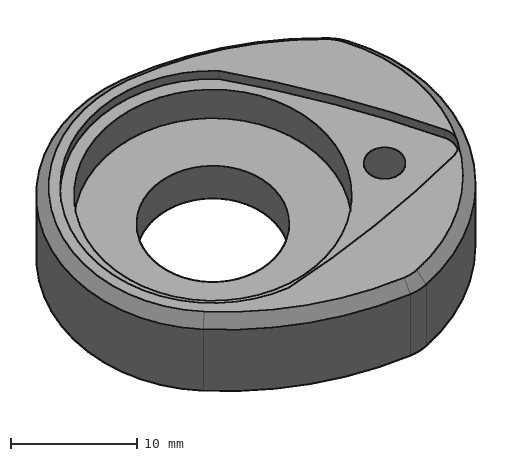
import cadquery as cq
import math

DIAGONAL_ANGLE = 45.0

HEIGHT = 8.5
HUB_RADIUS = 14.0
LOBE_RADIUS = 16.0
LOBE_OFFSET = 3.5 * math.sqrt(2)
FLANK_RADIUS = 31.0
CORNER_RADIUS = 4.5
RIM_CHAMFER = 1.0

POCKET_DEPTH = 1.0
POCKET_RADIUS = 12.1
POCKET_SIDE_RADIUS = 95.0
POCKET_SIDE_START_ANGLE = 74.0
POCKET_TIP_OFFSET = 21.0
POCKET_TIP_RADIUS = 1.8

SEAT_DIAMETER = 22.0
SEAT_DEPTH = 3.5
BORE_DIAMETER = 12.1

PIN_HOLE_DIAMETER = 3.3
PIN_HOLE_OFFSET = 14.0


def mirrored(point):
    """Reflect a plan point across the diagonal."""
    return (point[0], -point[1])


def make_body():
    flank_center_distance = FLANK_RADIUS - HUB_RADIUS
    flank_center_drop = math.sqrt(flank_center_distance**2 - LOBE_OFFSET**2)
    hub_scale = HUB_RADIUS / flank_center_distance
    hub_end = (-LOBE_OFFSET * hub_scale, flank_center_drop * hub_scale)

    corner_y = (FLANK_RADIUS**2 - LOBE_RADIUS**2 - flank_center_drop**2) / (2 * flank_center_drop)
    corner = (LOBE_OFFSET + math.sqrt(LOBE_RADIUS**2 - corner_y**2), corner_y)

    body = (
        cq.Workplane("XY")
        .moveTo(*hub_end)
        .radiusArc(corner, FLANK_RADIUS)
        .threePointArc((LOBE_OFFSET + LOBE_RADIUS, 0), mirrored(corner))
        .radiusArc(mirrored(hub_end), FLANK_RADIUS)
        .threePointArc((-HUB_RADIUS, 0), hub_end)
        .close()
        .extrude(HEIGHT)
    )
    body = body.edges("|Z").edges(">X").fillet(CORNER_RADIUS)
    return body.faces(">Z").chamfer(RIM_CHAMFER)


def make_pocket():
    start_angle = math.radians(POCKET_SIDE_START_ANGLE)
    side_start = (POCKET_RADIUS * math.cos(start_angle), POCKET_RADIUS * math.sin(start_angle))
    tip = (POCKET_TIP_OFFSET, 0)
    pocket = (
        cq.Workplane("XY", origin=(0, 0, HEIGHT - POCKET_DEPTH))
        .moveTo(*side_start)
        .radiusArc(tip, POCKET_SIDE_RADIUS)
        .radiusArc(mirrored(side_start), POCKET_SIDE_RADIUS)
        .threePointArc((-POCKET_RADIUS, 0), side_start)
        .close()
        .extrude(POCKET_DEPTH)
    )
    return pocket.edges("|Z").edges(">X").fillet(POCKET_TIP_RADIUS)


def make_seat():
    seat_floor = HEIGHT - POCKET_DEPTH - SEAT_DEPTH
    return (
        cq.Workplane("XY", origin=(0, 0, seat_floor))
        .circle(SEAT_DIAMETER / 2)
        .extrude(SEAT_DEPTH)
    )


def make_through_hole(diameter, offset):
    return cq.Workplane("XY").center(offset, 0).circle(diameter / 2).extrude(HEIGHT)


part = (
    make_body()
    .cut(make_pocket())
    .cut(make_seat())
    .cut(make_through_hole(BORE_DIAMETER, 0))
    .cut(make_through_hole(PIN_HOLE_DIAMETER, PIN_HOLE_OFFSET))
)
result = part.rotate((0, 0, 0), (0, 0, 1), DIAGONAL_ANGLE)